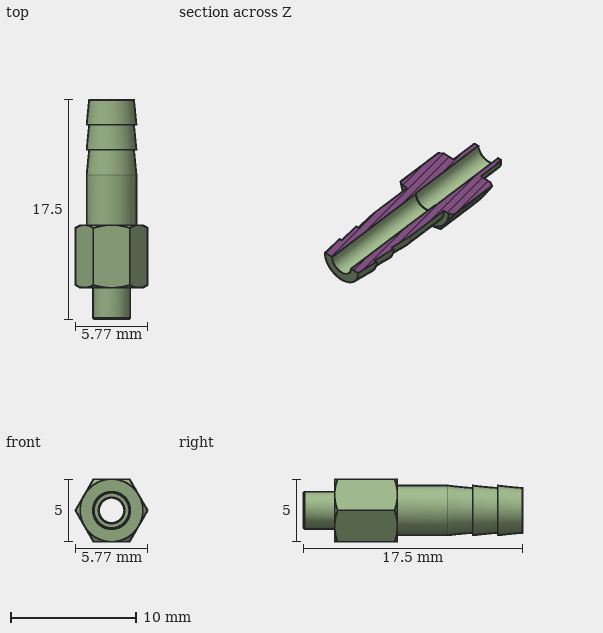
import cadquery as cq
import math

hex_across_flats = 5.0
hex_across_corners = hex_across_flats / math.cos(math.radians(30))
hex_length = 5.0
chamfer_angle = 30.0

spigot_diameter = 3.0
spigot_length = 2.5
spigot_chamfer = 0.1

tail_diameter = 4.0
tail_plain_length = 4.0
barb_tip_diameter = 3.6
barb_length = 2.0
barb_count = 3

front_bore_diameter = 2.1
tail_bore_diameter = 2.0

hex_start = spigot_length
hex_end = hex_start + hex_length
barbs_start = hex_end + tail_plain_length
total_length = barbs_start + barb_count * barb_length


def revolve_about_y(points):
    """Solid of revolution from a closed (radius, y) outline."""
    return cq.Workplane("XY").polyline(points).close().revolve(360, (0, 0, 0), (0, 1, 0))


def cylinder_along_y(diameter, y_start, y_end):
    radius = diameter / 2
    return revolve_about_y([(0, y_start), (radius, y_start), (radius, y_end), (0, y_end)])


def make_hex_body():
    """Hexagonal prism, corners on the X axis, corners chamfered at both ends."""
    prism = (
        cq.Workplane("XZ", origin=(0, hex_start, 0))
        .polygon(6, hex_across_corners)
        .extrude(-hex_length)
    )
    face_radius = hex_across_flats / 2
    corner_radius = hex_across_corners / 2
    chamfer_depth = (corner_radius - face_radius) * math.tan(math.radians(chamfer_angle))
    envelope = revolve_about_y([
        (0, hex_start),
        (face_radius, hex_start),
        (corner_radius, hex_start + chamfer_depth),
        (corner_radius, hex_end - chamfer_depth),
        (face_radius, hex_end),
        (0, hex_end),
    ])
    return prism.intersect(envelope)


def make_spigot():
    spigot = cylinder_along_y(spigot_diameter, 0, hex_start)
    return spigot.faces("<Y").edges().chamfer(spigot_chamfer)


def make_hose_tail():
    """Plain tail followed by barbs, each tapering from full to tip diameter."""
    tail_radius = tail_diameter / 2
    tip_radius = barb_tip_diameter / 2
    outline = [(0, hex_end), (tail_radius, hex_end)]
    for i in range(barb_count):
        barb_base = barbs_start + i * barb_length
        outline.append((tail_radius, barb_base))
        outline.append((tip_radius, barb_base + barb_length))
    outline.append((0, total_length))
    return revolve_about_y(outline)


def make_bore():
    front_bore = cylinder_along_y(front_bore_diameter, 0, hex_end)
    return front_bore.union(cylinder_along_y(tail_bore_diameter, 0, total_length))


body = make_hex_body().union(make_spigot()).union(make_hose_tail())
result = body.cut(make_bore())